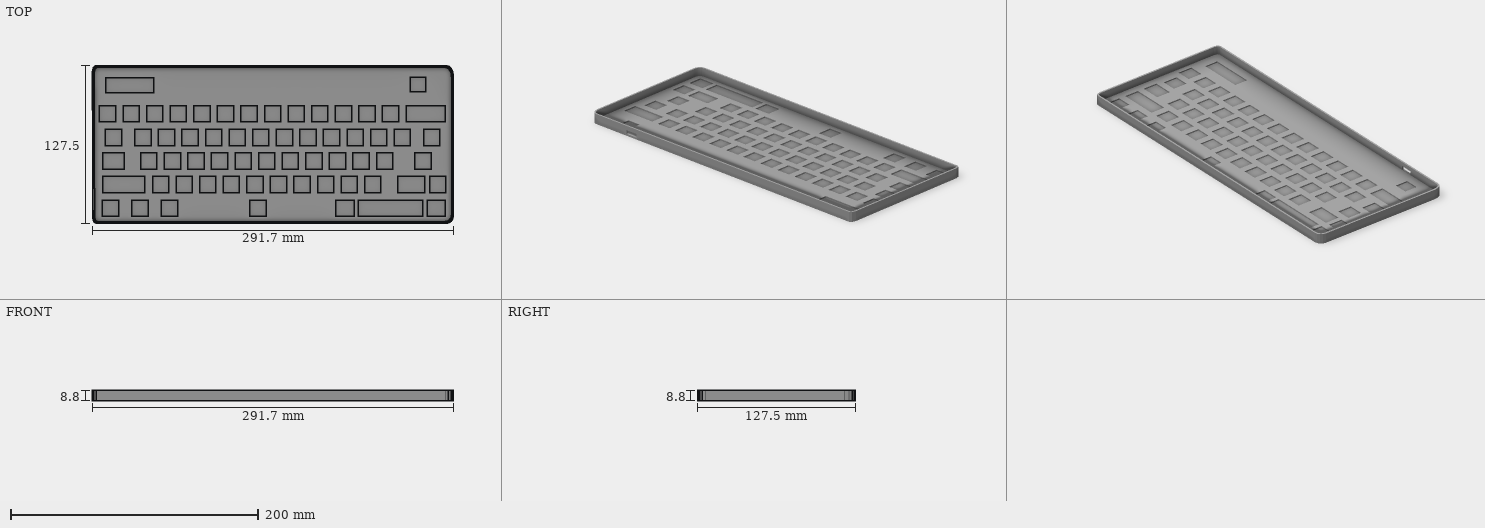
import cadquery as cq
import math

length = 291.7
width = 127.5
height = 8.8
wall = 1.5
floor_thickness = 1.5
left_lean = 0.3

back_left_round = (3.0, 5.3, 2)
back_right_round = (5.8, 8.8, 4)
front_right_round = (6.5, 6.5, 4)
front_left_round = (3.0, 4.7, 2)

pocket_depth = 1.2
key_size = 13.0
caps_lock_width = 17.5
backspace_width = 31.5
left_shift_width = 34.0
right_shift_width = 22.0
arrow_width = 15.0
arrow_bar_width = 52.0

number_key_count = 13
number_row_span = 228.7
key_pitch = number_row_span / (number_key_count - 1)
first_key_x = -133.5
number_row_y = 24.8

key_rows = [
    [(number_key_count, 0, key_size), (1, 13.5, backspace_width)],
    [(1, 0.25, key_size), (12, 1.5, key_size), (1, 13.75, key_size)],
    [(1, 0.25, caps_lock_width), (11, 1.75, key_size), (1, 13.375, key_size)],
    [
        (1, 11 / 16, left_shift_width),
        (10, 2.25, key_size),
        (1, 12.875, right_shift_width),
        (1, 14, key_size),
    ],
    [
        (1, 0.125, key_size),
        (1, 1.375, key_size),
        (1, 2.625, key_size),
        (1, 6.375, key_size),
        (1, 10 + 1 / 16, arrow_width),
        (1, 12, arrow_bar_width),
        (1, 14 - 1 / 16, arrow_width),
    ],
]

back_pockets = [(-115.5, 47.8, 38.8, 12.3), (117.3, 48.5, 12.3, 11.7)]

port_x = 100.0
port_width = 11.0
port_height = 3.2
port_sill = 0.3


def corner_points(x, y, toward_x, toward_y, rounding):
    """Facet points of a corner at (x, y), from the side along X round to the side along Y."""
    reach_x, reach_y, facets = rounding
    angles = [i * math.pi / 2 / facets for i in range(facets + 1)]
    return [
        (x + toward_x * reach_x * (1 - math.sin(a)), y + toward_y * reach_y * (1 - math.cos(a)))
        for a in angles
    ]


def tray_outline():
    """Closed outer outline with four unequal faceted corners and a leaning left side."""
    left, right = -length / 2, length / 2
    front, back = -width / 2, width / 2
    back_right = corner_points(right, back, -1, -1, back_right_round)
    front_right = corner_points(right, front, -1, 1, front_right_round)
    front_left = corner_points(left + left_lean, front, 1, 1, front_left_round)
    back_left = corner_points(left, back, 1, -1, back_left_round)
    points = back_right + front_right[::-1] + front_left + back_left[::-1]
    return cq.Workplane("XY").polyline(points).close()


def tray():
    """Open tray: the outline less a cavity that leaves the walls and the floor."""
    cavity = tray_outline().offset2D(-wall).extrude(height)
    return tray_outline().extrude(height).cut(cavity.translate((0, 0, floor_thickness)))


def pocket(x, y, size_x, size_y):
    """Shallow rectangular pocket sunk into the tray floor."""
    base = floor_thickness - pocket_depth
    return cq.Workplane("XY", origin=(x, y, base)).rect(size_x, size_y).extrude(pocket_depth)


def all_pockets():
    """Every key pocket, row by row, and the two pockets behind the keys."""
    pockets = cq.Workplane("XY")
    for row_number, row in enumerate(key_rows):
        y = number_row_y - row_number * key_pitch
        for count, start, key_width in row:
            for i in range(count):
                x = first_key_x + (start + i) * key_pitch
                pockets.add(pocket(x, y, key_width, key_size))
    for place in back_pockets:
        pockets.add(pocket(*place))
    return pockets.combine()


def cable_port():
    """Block that cuts right through the back wall."""
    return cq.Workplane("XY", origin=(port_x, width / 2, floor_thickness + port_sill)).box(
        port_width, 4 * wall, port_height, centered=(True, True, False)
    )


result = tray().cut(all_pockets()).cut(cable_port())